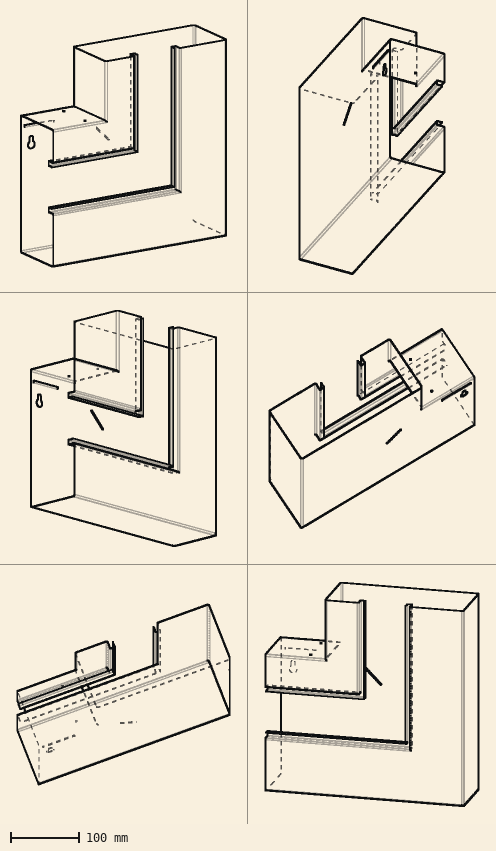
import cadquery as cq
import math

width = 90.0
length = 299.8
leg_height = 210.0
thickness = 1.0
half_gauge = thickness / 2

corner_bend = 2.7
edge_bend = 2.0
lip_bend = 1.0

opening_start = 81.3
opening_end = 159.0
lip_floor_x = 77.0
lip_width = 7.2
step_lean = 0.3
return_kink_x = 82.5
return_end_x = 85.5
kink_depth = 0.5

keyhole_y = 18.0
keyhole_z = 162.0
keyhole_radius = 5.7
keyhole_neck_radius = 3.0
keyhole_rise = 10.5
tab_start_y = 6.0
tab_length = 50.5
tab_hinge_z = 190.7
tab_height = 3.0
tab_lean = 1.0

screw_diameter = 2.5
screw_y = 64.5
screw_xs = (15.5, 73.8)

seam_slot_length = 34.2
seam_slot_width = 1.8
seam_slot_y = 139.5


def lip_points(step, toward_gap):
    """Channel path from the flange edge to the free end; toward_gap is +1 or -1."""
    back = step + toward_gap * lip_width
    return [
        (width - half_gauge, step),
        (lip_floor_x, step - toward_gap * step_lean),
        (lip_floor_x, back),
        (return_kink_x, back - toward_gap * kink_depth),
        (return_end_x, back),
    ]


def sheet_profile():
    """Path of the sheet across a leg, from one lip round the duct to the other."""
    outer_lip = lip_points(opening_start, 1)
    inner_lip = lip_points(opening_end, -1)
    match_distance = 0.03
    near, far = half_gauge, width - half_gauge
    low, high = half_gauge, leg_height - half_gauge
    corners = [(far, low), (near, low), (near, high), (far, high)]
    path = cq.Workplane("XZ").polyline(outer_lip[::-1] + corners + inner_lip).wire().val()

    def vertices_at(points):
        return [
            vertex for vertex in path.Vertices()
            if any(math.hypot(vertex.X - x, vertex.Z - z) < match_distance for x, z in points)
        ]

    path = path.fillet2D(corner_bend, vertices_at(corners))
    path = path.fillet2D(edge_bend, vertices_at([outer_lip[0], inner_lip[0]]))
    return path.fillet2D(lip_bend, vertices_at(outer_lip[1:3] + inner_lip[1:3]))


def horizontal_leg():
    """Leg along Y, cut at 45 degrees where Y + Z = length."""
    sheet = cq.Workplane("XZ").newObject([sheet_profile()]).toPending().offset2D(half_gauge)
    duct = sheet.extrude(-length)
    mitre = (
        cq.Workplane("YZ")
        .polyline([(0, 0), (length, 0), (length - leg_height, leg_height), (0, leg_height)])
        .close()
        .extrude(width)
    )
    return duct.intersect(mitre)


def keyhole_cutter():
    head = cq.Workplane("YZ").center(keyhole_y, keyhole_z).circle(keyhole_radius).extrude(thickness)
    neck = (
        cq.Workplane("YZ")
        .center(keyhole_y, keyhole_z + keyhole_rise / 2)
        .slot2D(keyhole_rise + 2 * keyhole_neck_radius, 2 * keyhole_neck_radius, 90)
        .extrude(thickness)
    )
    return head.union(neck)


def tab_window():
    window = cq.Workplane("XY").box(thickness, tab_length, tab_height, centered=False)
    return window.translate((0, tab_start_y, tab_hinge_z))


def bent_tab():
    """Strip hinged at the bottom of its window, leaning into the duct."""
    top_z = tab_hinge_z + tab_height
    return (
        cq.Workplane("XZ", origin=(0, tab_start_y, 0))
        .polyline([
            (0, tab_hinge_z),
            (tab_lean, top_z),
            (tab_lean + thickness, top_z),
            (thickness, tab_hinge_z),
        ])
        .close()
        .extrude(-tab_length)
    )


def screw_holes():
    return (
        cq.Workplane("XY", origin=(0, 0, leg_height - thickness))
        .pushPoints([(x, screw_y) for x in screw_xs])
        .circle(screw_diameter / 2)
        .extrude(thickness)
    )


def seam_slot():
    return (
        cq.Workplane("YZ")
        .center(seam_slot_y, length - seam_slot_y)
        .transformed(rotate=(0, 0, -45))
        .rect(seam_slot_length, seam_slot_width)
        .extrude(thickness)
    )


lower = horizontal_leg()
upper = lower.mirror(cq.Vector(0, 1, 1), (0, length / 2, length / 2))
result = lower.union(upper)
result = result.cut(keyhole_cutter()).cut(screw_holes()).cut(seam_slot())
result = result.cut(tab_window()).union(bent_tab())